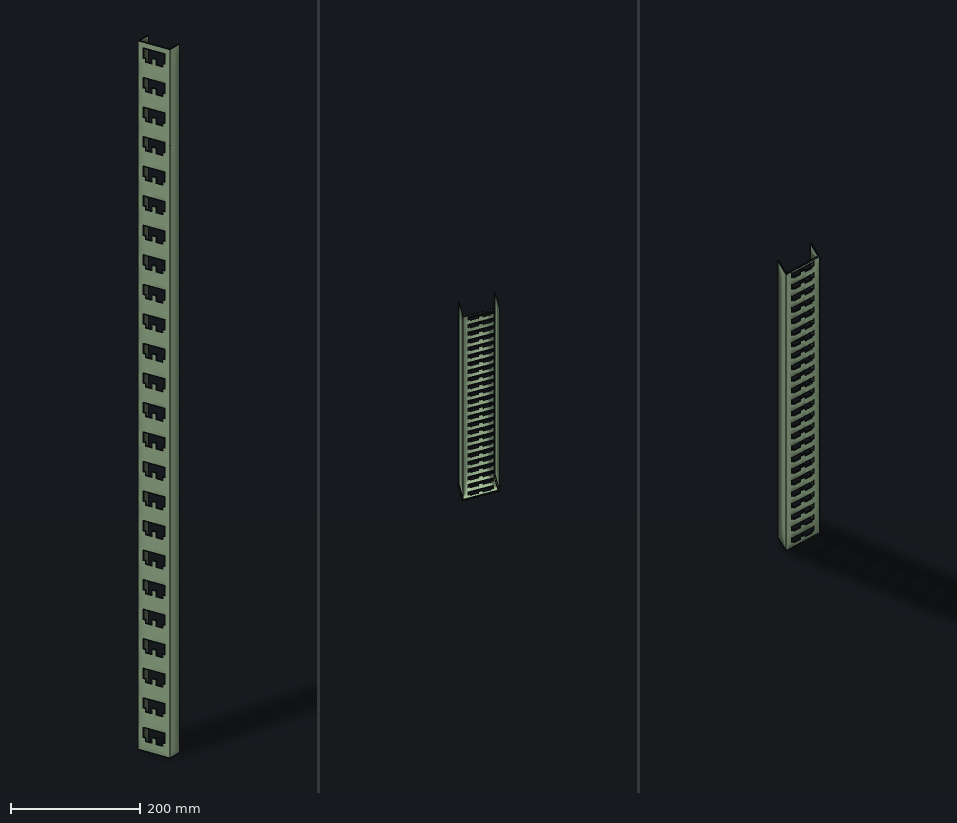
import cadquery as cq

length = 1200.0
width = 60.0
depth = 26.0
thickness = 2.0

slot_count = 24
slot_pitch = length / slot_count
first_slot_margin = 10.2
slot_side_margin = 10.0
slot_width = width - 2 * slot_side_margin

tab_width = 8.0
tab_height = 9.4
clearance_above_tab = 13.0
slot_height = tab_height + clearance_above_tab
step_width = 4.1
step_height = 5.6


def make_channel():
    """U-shaped rail: web on the -Y side, flanges reaching toward +Y, centred on the origin."""
    block = cq.Workplane("XY").box(width, depth, length)
    hollow = (
        cq.Workplane("XY")
        .box(width - 2 * thickness, depth, length)
        .translate((0, thickness, 0))
    )
    return block.cut(hollow)


def make_slot_cutter():
    """Slot with stepped lower corners and a central tab; its upper edge lies at Z = 0."""
    half_slot = slot_width / 2
    half_lower = half_slot - step_width
    half_tab = tab_width / 2
    bottom = -slot_height
    step_top = bottom + step_height
    tab_top = bottom + tab_height
    right_half = [
        (half_slot, 0),
        (half_slot, step_top),
        (half_lower, step_top),
        (half_lower, bottom),
        (half_tab, bottom),
        (half_tab, tab_top),
    ]
    left_half = [(-x, z) for x, z in reversed(right_half)]
    return cq.Workplane("XZ").polyline(right_half + left_half).close().extrude(depth)


first_slot_top = length / 2 - first_slot_margin
slot_tops = [(0, 0, first_slot_top - index * slot_pitch) for index in range(slot_count)]
slot_cutter = make_slot_cutter().val()
slots = [slot_cutter.translate(cq.Vector(*position)) for position in slot_tops]

channel = make_channel().val()
result = cq.Workplane("XY").newObject([channel.cut(*slots)])